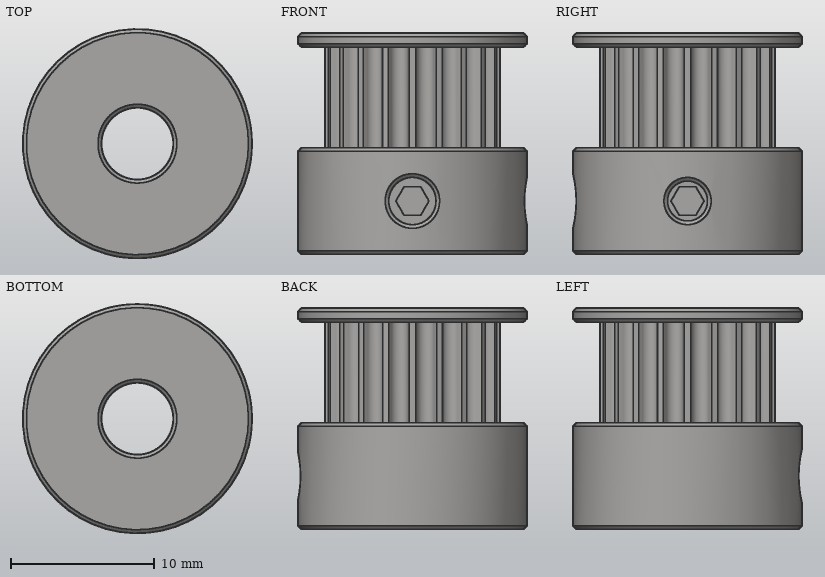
import cadquery as cq
import math

OUTER_DIAMETER = 16.0
BORE_DIAMETER = 5.0
HUB_HEIGHT = 7.45
BELT_WIDTH = 7.0
FLANGE_THICKNESS = 1.0
EDGE_CHAMFER = 0.25

TOOTH_COUNT = 20
TOOTH_TIP_DIAMETER = 12.22
GROOVE_MOUTH_WIDTH = 1.47
GROOVE_DEPTH = 0.83
GROOVE_ARC_WIDTH = 1.22
GROOVE_ARC_END_RADIUS = 5.76
FLANK_BREAK_WIDTH = 1.38
FLANK_BREAK_RADIUS = 5.97

SCREW_HOLE_DIAMETER = 3.3
SCREW_RECESS_DEPTH = 0.96
SOCKET_SIDES = 6
SOCKET_ACROSS_FLATS = 2.0
SOCKET_DEPTH = 1.5
SCREW_DIRECTIONS = (-90, 0)

TIP_RADIUS = TOOTH_TIP_DIAMETER / 2
OUTER_RADIUS = OUTER_DIAMETER / 2
TOTAL_HEIGHT = HUB_HEIGHT + BELT_WIDTH + FLANGE_THICKNESS
SCREW_HEIGHT = HUB_HEIGHT / 2
SCREW_FACE_RADIUS = OUTER_RADIUS - SCREW_RECESS_DEPTH
SOCKET_ACROSS_CORNERS = SOCKET_ACROSS_FLATS / math.cos(math.pi / SOCKET_SIDES)


def chamfered_disc(base_height, thickness):
    """Full-diameter disc with both rims chamfered."""
    disc = cq.Workplane("XY").workplane(offset=base_height).circle(OUTER_RADIUS).extrude(thickness)
    return disc.edges().chamfer(EDGE_CHAMFER)


def tooth_groove(angle):
    """Cutter for one belt groove: round bottom, flanks flaring out to the tooth tips."""
    half_mouth = GROOVE_MOUTH_WIDTH / 2
    half_break = FLANK_BREAK_WIDTH / 2
    mouth_radius = math.sqrt(TIP_RADIUS**2 - half_mouth**2)
    half_arc = GROOVE_ARC_WIDTH / 2
    bottom_radius = TIP_RADIUS - GROOVE_DEPTH
    outline = (
        cq.Workplane("XY")
        .workplane(offset=HUB_HEIGHT)
        .moveTo(OUTER_RADIUS, half_mouth)
        .lineTo(mouth_radius, half_mouth)
        .lineTo(FLANK_BREAK_RADIUS, half_break)
        .lineTo(GROOVE_ARC_END_RADIUS, half_arc)
        .threePointArc((bottom_radius, 0), (GROOVE_ARC_END_RADIUS, -half_arc))
        .lineTo(FLANK_BREAK_RADIUS, -half_break)
        .lineTo(mouth_radius, -half_mouth)
        .lineTo(OUTER_RADIUS, -half_mouth)
        .close()
    )
    return outline.extrude(BELT_WIDTH).rotate((0, 0, 0), (0, 0, 1), angle)


def toothed_section():
    """Cylinder between hub and flange, with teeth centred on the X and Y axes."""
    teeth = cq.Workplane("XY").workplane(offset=HUB_HEIGHT).circle(TIP_RADIUS).extrude(BELT_WIDTH)
    pitch_angle = 360 / TOOTH_COUNT
    for index in range(TOOTH_COUNT):
        teeth = teeth.cut(tooth_groove((index + 0.5) * pitch_angle))
    return teeth


def with_set_screw(body, angle):
    """Hub with a set screw facing the given direction: recess, chamfered rim and hexagon socket."""
    plane = cq.Workplane("YZ").center(0, SCREW_HEIGHT)
    recess = (
        plane.workplane(offset=SCREW_FACE_RADIUS)
        .circle(SCREW_HOLE_DIAMETER / 2)
        .extrude(SCREW_RECESS_DEPTH)
    )
    socket = (
        plane.workplane(offset=SCREW_FACE_RADIUS - SOCKET_DEPTH)
        .polygon(SOCKET_SIDES, SOCKET_ACROSS_CORNERS)
        .extrude(SOCKET_DEPTH)
    )
    turned = body.rotate((0, 0, 0), (0, 0, 1), -angle).cut(recess)
    rim_point = (OUTER_RADIUS, 0, SCREW_HEIGHT)
    turned = turned.edges(cq.NearestToPointSelector(rim_point)).chamfer(EDGE_CHAMFER)
    return turned.cut(socket).rotate((0, 0, 0), (0, 0, 1), angle)


def bore_cutter():
    """Through bore with a chamfer at both ends."""
    radius = BORE_DIAMETER / 2
    mouth_radius = radius + EDGE_CHAMFER
    half_section = [
        (0, 0),
        (mouth_radius, 0),
        (radius, EDGE_CHAMFER),
        (radius, TOTAL_HEIGHT - EDGE_CHAMFER),
        (mouth_radius, TOTAL_HEIGHT),
        (0, TOTAL_HEIGHT),
    ]
    return cq.Workplane("XZ").polyline(half_section).close().revolve(360, (0, 0, 0), (0, 1, 0))


hub = chamfered_disc(0, HUB_HEIGHT)
for direction in SCREW_DIRECTIONS:
    hub = with_set_screw(hub, direction)
flange = chamfered_disc(HUB_HEIGHT + BELT_WIDTH, FLANGE_THICKNESS)

result = hub.union(toothed_section()).union(flange).cut(bore_cutter())